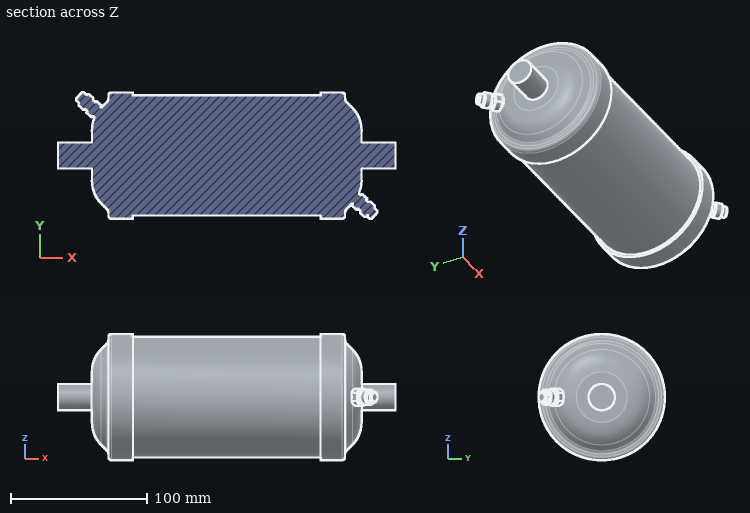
import cadquery as cq
import math

overall_length = 248.0
pipe_radius = 9.7
shell_radius = 44.5
cap_diameter = 93.0
cap_radius = cap_diameter / 2
cap_inner_x = 69.0
cap_face_x = 87.0
cap_rounding = 2.5

dome_end_x = 99.2
dome_flat_radius = 18.5
shoulder_radius = 23.3
root_radius = 3.2
cone_angle = math.radians(45)

valve_angle = 42.0
valve_tip_x = 108.5
valve_tip_y = 44.1
tip_radius = 4.2
tip_chamfer = 1.0
tip_length = 4.0
barrel_radius = 5.7
barrel_chamfer = 0.7
barrel_length = 6.2
neck_radius = 4.5
neck_length = 2.2
collar_radius = 6.5
collar_across_flats = 11.5
collar_length = 5.2
stub_length = 3.7


def arc_point(center_x, center_r, radius, angle):
    """Point on an arc, with the angle measured from the X axis."""
    return center_x + radius * math.cos(angle), center_r + radius * math.sin(angle)


def make_end():
    """Revolve the +X end: cap, dome and pipe."""
    shoulder_center_x = dome_end_x - shoulder_radius
    shoulder_mid = arc_point(shoulder_center_x, dome_flat_radius, shoulder_radius, cone_angle / 2)
    cone_start = arc_point(shoulder_center_x, dome_flat_radius, shoulder_radius, cone_angle)

    root_center_x = cap_face_x + root_radius
    root_offset_x = root_radius * math.cos(cone_angle)
    root_start_x = root_center_x - root_offset_x
    root_start_r = cone_start[1] + (cone_start[0] - root_start_x) / math.tan(cone_angle)
    root_center_r = root_start_r + root_radius * math.sin(cone_angle)
    root_mid = arc_point(root_center_x, root_center_r, root_radius, math.pi + cone_angle / 2)

    rounding_center_x = cap_face_x - cap_rounding
    rounding_center_r = cap_radius - cap_rounding
    rounding_mid = arc_point(rounding_center_x, rounding_center_r, cap_rounding, math.pi / 4)

    profile = (
        cq.Workplane("XZ")
        .moveTo(cap_inner_x, 0)
        .lineTo(overall_length / 2, 0)
        .lineTo(overall_length / 2, pipe_radius)
        .lineTo(dome_end_x, pipe_radius)
        .lineTo(dome_end_x, dome_flat_radius)
        .threePointArc(shoulder_mid, cone_start)
        .lineTo(root_start_x, root_start_r)
        .threePointArc(root_mid, (cap_face_x, root_center_r))
        .lineTo(cap_face_x, rounding_center_r)
        .threePointArc(rounding_mid, (rounding_center_x, cap_radius))
        .lineTo(cap_inner_x, cap_radius)
        .close()
    )
    return profile.revolve(360, (0, 0, 0), (1, 0, 0))


def make_valve():
    """Build the valve on the +X, -Y side, from its tip inward to the dome."""
    angle = math.radians(valve_angle)
    inward = (-math.cos(angle), math.sin(angle), 0)
    tip_plane = cq.Plane(origin=(valve_tip_x, -valve_tip_y, 0), xDir=(0, 0, 1), normal=inward)
    barrel_start = tip_length
    neck_start = barrel_start + barrel_length
    collar_start = neck_start + neck_length
    stub_end = collar_start + collar_length + stub_length

    turned_profile = [
        (0, 0),
        (0, tip_radius - tip_chamfer),
        (tip_chamfer, tip_radius),
        (barrel_start, tip_radius),
        (barrel_start, barrel_radius - barrel_chamfer),
        (barrel_start + barrel_chamfer, barrel_radius),
        (neck_start - barrel_chamfer, barrel_radius),
        (neck_start, barrel_radius - barrel_chamfer),
        (neck_start, neck_radius),
        (stub_end, neck_radius),
        (stub_end, 0),
    ]
    profile_plane = cq.Plane(origin=tip_plane.origin, xDir=inward, normal=(0, 0, 1))
    turned = cq.Workplane(profile_plane).polyline(turned_profile).close()
    turned = turned.revolve(360, (0, 0, 0), (1, 0, 0))

    collar_plane = cq.Workplane(tip_plane).workplane(offset=collar_start)
    collar = collar_plane.circle(collar_radius).extrude(collar_length)
    flats = collar_plane.rect(2 * collar_radius, collar_across_flats).extrude(collar_length)
    return turned.union(collar.intersect(flats))


shell = cq.Workplane("YZ").circle(shell_radius).extrude(cap_inner_x, both=True)
end = make_end()
body = shell.union(end).union(end.mirror("YZ"))

valve = make_valve()
result = body
for turn in (0, 180):
    result = result.union(valve.rotate((0, 0, 0), (0, 0, 1), turn))